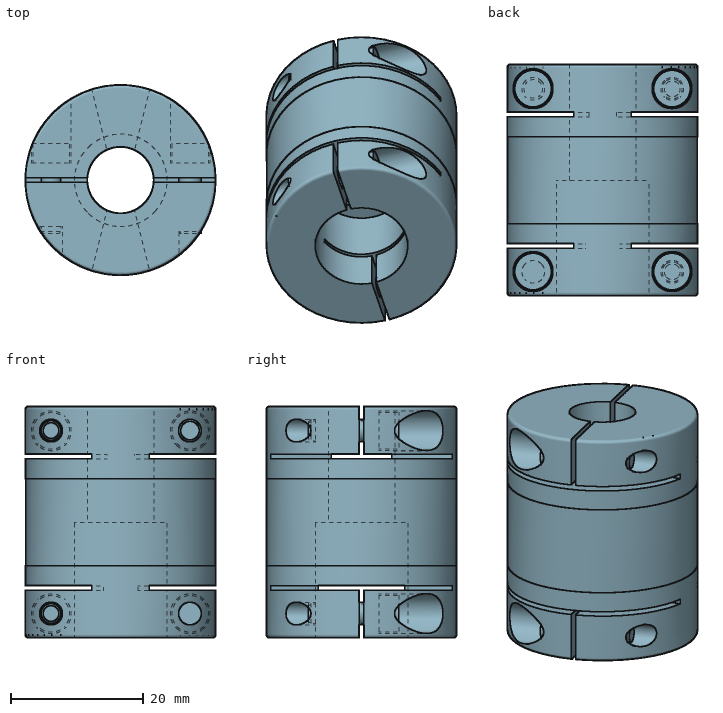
import cadquery as cq
import math

length = 35.0
outer_diameter = 28.8
outer_radius = outer_diameter / 2
rim_fillet = 0.5
upper_bore_radius = 5.0
lower_bore_radius = 7.0
waist_radius = outer_radius - 0.05
waist_end_distance = 10.92

hub_length = 7.2
gap_width = 0.7
web_outer_half_width = 4.38
web_taper_angle = 14.0

screw_offset = 10.5
screw_end_distance = 3.68
hole_radius = 1.7
slim_screw_radius = 1.5
wide_screw_radius = hole_radius
counterbore_radius = 3.0
head_radius = 2.75
head_height = 3.0
head_top_y = 5.6
seat_y = head_top_y - head_height
screw_tip_y = -8.0
tip_recess_floor_y = -7.0
tip_chamfer = 0.3


def cylinder_along_y(x, z, radius, start_y, end_y):
    """Cylinder parallel to Y between two Y positions."""
    start = cq.Vector(x, start_y, z)
    return cq.Workplane(cq.Solid.makeCylinder(radius, end_y - start_y, start, cq.Vector(0, 1, 0)))


def make_body():
    """Filleted cylinder with a bore that steps at mid-length."""
    body = cq.Workplane("XY").circle(outer_radius).extrude(length).edges().fillet(rim_fillet)
    upper_bore = cq.Workplane("XY").circle(upper_bore_radius).extrude(length)
    lower_bore = cq.Workplane("XY").circle(lower_bore_radius).extrude(length / 2)
    return body.cut(upper_bore).cut(lower_bore)


def waist_relief():
    """Thin ring that turns the middle of the body down slightly."""
    return (
        cq.Workplane("XY", origin=(0, 0, waist_end_distance))
        .circle(outer_diameter)
        .circle(waist_radius)
        .extrude(length - 2 * waist_end_distance)
    )


def flexure_slot(bottom_z):
    """Slots on the +X and -X sides, leaving two tapered webs at +Y and -Y."""
    web_outer_y = math.sqrt(outer_radius**2 - web_outer_half_width**2)
    taper = math.tan(math.radians(web_taper_angle))
    web_inner_half_width = web_outer_half_width - web_outer_y * taper
    web_far_half_width = web_inner_half_width + outer_radius * taper
    side = (
        cq.Workplane("XY", origin=(0, 0, bottom_z))
        .moveTo(web_inner_half_width, 0)
        .lineTo(web_far_half_width, outer_radius)
        .lineTo(outer_diameter, outer_radius)
        .lineTo(outer_diameter, -outer_radius)
        .lineTo(web_far_half_width, -outer_radius)
        .close()
        .extrude(gap_width)
    )
    return side.union(side.mirror("YZ"))


def clamp_slit(bottom_z):
    """Slit through a hub on the XZ plane, splitting it into two jaws."""
    base = cq.Workplane("XY", origin=(0, 0, bottom_z))
    return base.rect(outer_diameter, gap_width).extrude(hub_length)


def screw_pocket(x, z):
    """Counterbore on the +Y side and screw-end recess on the -Y side."""
    counterbore = cylinder_along_y(x, z, counterbore_radius, seat_y, outer_radius)
    recess = cylinder_along_y(x, z, hole_radius, -outer_radius, tip_recess_floor_y)
    return counterbore.union(recess)


def clamp_screw(x, z, shank_radius, chamfer):
    """Cap screw whose head sits in the counterbore and whose tip points to -Y."""
    shank = cylinder_along_y(x, z, shank_radius, screw_tip_y, head_top_y)
    if chamfer > 0:
        shank = shank.faces("<Y").chamfer(chamfer)
    head = cylinder_along_y(x, z, head_radius, seat_y, head_top_y)
    return shank.union(head)


result = make_body().cut(waist_relief())

for bottom_z in (hub_length, length - hub_length - gap_width):
    result = result.cut(flexure_slot(bottom_z))
for bottom_z in (0, length - hub_length):
    result = result.cut(clamp_slit(bottom_z))

lower_z = screw_end_distance
upper_z = length - screw_end_distance

screws = (
    (-screw_offset, lower_z, slim_screw_radius, tip_chamfer),
    (-screw_offset, upper_z, slim_screw_radius, tip_chamfer),
    (screw_offset, lower_z, wide_screw_radius, 0),
    (screw_offset, upper_z, wide_screw_radius, tip_chamfer),
)
for x, z, shank_radius, chamfer in screws:
    result = result.cut(screw_pocket(x, z))
    result = result.union(clamp_screw(x, z, shank_radius, chamfer))